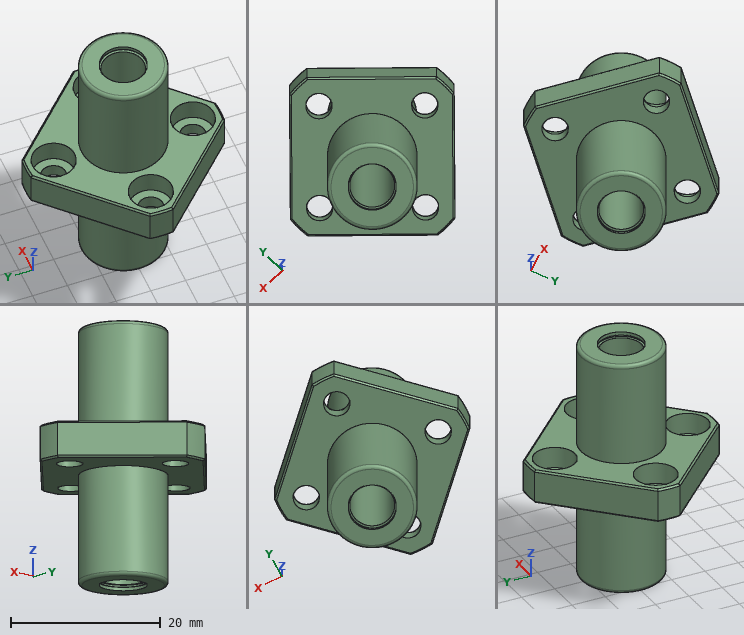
import cadquery as cq

BODY_DIAMETER = 12.0
BODY_LENGTH = 35.0
BODY_EDGE_RADIUS = 0.5

BORE_DIAMETER = 6.0
LIP_DIAMETER = 6.4
SEAT_DIAMETER = 6.8
LIP_LENGTH = 0.5
SEAT_DEPTH = 0.8

FLANGE_DIAMETER = 28.0
FLANGE_SQUARE = 22.0
FLANGE_THICKNESS = 5.0
FLANGE_CHAMFER = 0.25

HOLE_COUNT = 4
HOLE_CIRCLE_DIAMETER = 20.0
HOLE_DIAMETER = 3.5
COUNTERBORE_DIAMETER = 6.0
COUNTERBORE_DEPTH = 3.1


def cylinder(diameter, length, bottom):
    """Upright cylinder on the Z axis, starting at the given height."""
    return cq.Workplane("XY").workplane(offset=bottom).circle(diameter / 2).extrude(length)


def make_body():
    """Solid sleeve with rounded end edges."""
    body = cylinder(BODY_DIAMETER, BODY_LENGTH, -BODY_LENGTH / 2)
    return body.faces("<Z or >Z").edges().fillet(BODY_EDGE_RADIUS)


def make_flange():
    """Trimmed square plate, chamfered around both faces and drilled."""
    bottom = -FLANGE_THICKNESS / 2
    square = cq.Workplane("XY").box(FLANGE_SQUARE, FLANGE_SQUARE, FLANGE_THICKNESS)
    diamond = square.rotate((0, 0, 0), (0, 0, 1), 45)
    plate = cylinder(FLANGE_DIAMETER, FLANGE_THICKNESS, bottom).intersect(diamond)
    plate = plate.faces("<Z or >Z").edges().chamfer(FLANGE_CHAMFER)
    return (
        plate.faces(">Z")
        .workplane(origin=(0, 0, 0))
        .polarArray(HOLE_CIRCLE_DIAMETER / 2, 0, 360, HOLE_COUNT)
        .cboreHole(HOLE_DIAMETER, COUNTERBORE_DIAMETER, COUNTERBORE_DEPTH)
    )


def make_bore():
    """Volume removed for the shaft: through bore plus the stepped recess at both ends."""
    half_length = BODY_LENGTH / 2
    seat_length = SEAT_DEPTH - LIP_LENGTH
    lip = cylinder(LIP_DIAMETER, LIP_LENGTH, half_length - LIP_LENGTH)
    seat = cylinder(SEAT_DIAMETER, seat_length, half_length - SEAT_DEPTH)
    recess = lip.union(seat)
    through = cylinder(BORE_DIAMETER, BODY_LENGTH, -half_length)
    return through.union(recess).union(recess.mirror("XY"))


result = make_body().union(make_flange()).cut(make_bore())